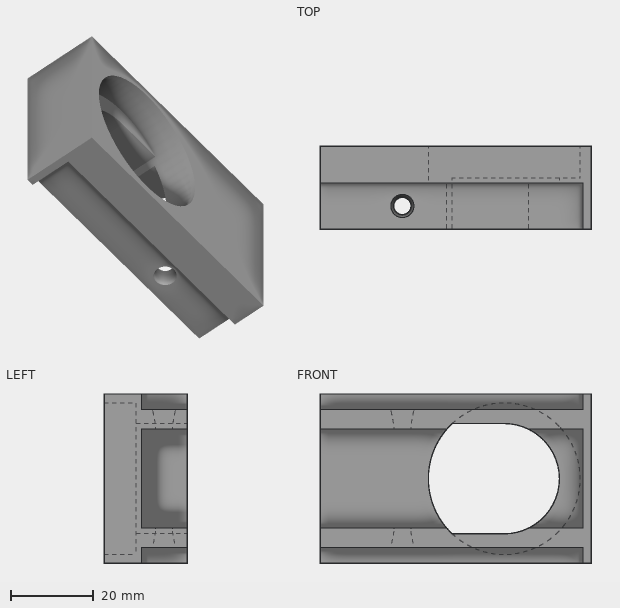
import cadquery as cq

length = 65.4
depth = 20.1
height = 40.9

plate_thickness = 8.95
end_wall = 1.95
rail_inset = 3.8
rail_thickness = 4.7

window_x = 44.4
window_right_radius = 13.3
window_left_radius = 18.3
window_lip = 1.3

hole_x = 19.8
hole_from_front = 5.6
hole_outer_diameter = 5.55
hole_inner_diameter = 4.1
hole_straight = 1.0

front_depth = depth - plate_thickness
open_length = length - end_wall
channel_height = height - 2 * (rail_inset + rail_thickness)


def front_pocket(z_bottom, pocket_height):
    """Space in front of the plate, open at the left end and closed by the end wall."""
    return cq.Workplane("XY").box(open_length, front_depth, pocket_height, centered=False).translate(
        (0, 0, z_bottom)
    )


def window():
    """D-shaped opening: flat top and bottom between two concentric arcs."""
    half_height = window_right_radius
    corner_x = window_x - (window_left_radius**2 - half_height**2) ** 0.5
    middle = height / 2
    return (
        cq.Workplane("XZ")
        .moveTo(corner_x, middle + half_height)
        .lineTo(window_x, middle + half_height)
        .threePointArc((window_x + window_right_radius, middle), (window_x, middle - half_height))
        .lineTo(corner_x, middle - half_height)
        .threePointArc((window_x - window_left_radius, middle), (corner_x, middle + half_height))
        .close()
        .extrude(-(front_depth + window_lip))
    )


def rear_bore():
    """Full round bore from the back face, concentric with the window's arcs."""
    return (
        cq.Workplane("XZ", origin=(window_x, depth, height / 2))
        .circle(window_left_radius)
        .extrude(plate_thickness - window_lip)
    )


def lower_rail_hole():
    """Screw hole through the lower rail, widening as a cone to the rail's outer face."""
    inner_z = rail_inset + rail_thickness
    cone_top_z = inner_z - hole_straight
    outer_radius = hole_outer_diameter / 2
    inner_radius = hole_inner_diameter / 2
    return (
        cq.Workplane("XZ", origin=(hole_x, hole_from_front, 0))
        .moveTo(0, rail_inset)
        .lineTo(outer_radius, rail_inset)
        .lineTo(inner_radius, cone_top_z)
        .lineTo(inner_radius, inner_z)
        .lineTo(0, inner_z)
        .close()
        .revolve(360, (0, 0, 0), (0, 1, 0))
    )


result = cq.Workplane("XY").box(length, depth, height, centered=False)

result = result.cut(front_pocket(0, rail_inset))
result = result.cut(front_pocket(height - rail_inset, rail_inset))
result = result.cut(front_pocket(rail_inset + rail_thickness, channel_height))

result = result.cut(rear_bore(), clean=False).cut(window(), clean=False)

lower_hole = lower_rail_hole()
upper_hole = lower_hole.rotate(
    (0, hole_from_front, height / 2), (length, hole_from_front, height / 2), 180
)
result = result.cut(lower_hole, clean=False).cut(upper_hole, clean=False)